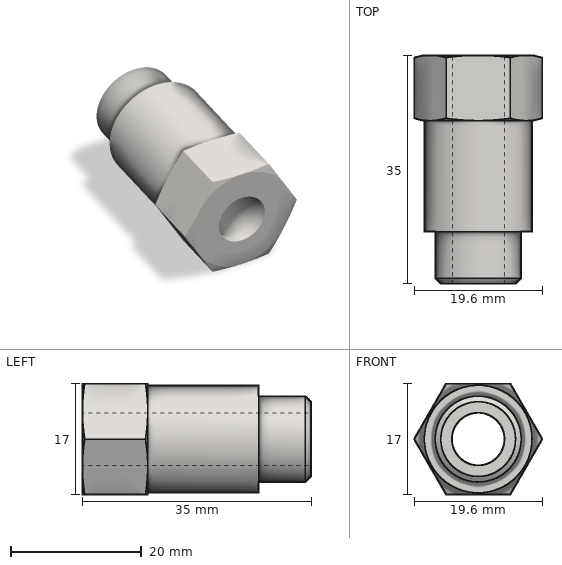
import cadquery as cq
import math

total_length = 35.0
hex_length = 10.0
pin_length = 8.0
across_flats = 17.0
body_diameter = 16.5
pin_diameter = 13.15
pin_tip_diameter = 11.45
bore_diameter = 8.0
hex_face_diameter = 16.95
hex_chamfer_angle = 15.0

hex_start = total_length - hex_length
body_length = hex_start - pin_length
across_corners = across_flats / math.cos(math.pi / 6)
pin_chamfer = (pin_diameter - pin_tip_diameter) / 2
chamfer_width = (across_corners - hex_face_diameter) / 2
chamfer_depth = chamfer_width * math.tan(math.radians(hex_chamfer_angle))


def plane_at(y):
    """Sketch plane across the axis, facing +Y, with its x direction along X."""
    return cq.Workplane(cq.Plane(origin=(0, y, 0), xDir=(1, 0, 0), normal=(0, 1, 0)))


def cylinder(start, length, diameter):
    return plane_at(start).circle(diameter / 2).extrude(length)


def hex_head():
    """Hexagon with corners on the X axis and conical chamfers on both ends."""
    prism = plane_at(hex_start).polygon(6, across_corners).extrude(hex_length)
    envelope = cylinder(hex_start, hex_length, across_corners)
    envelope = envelope.faces("<Y or >Y").chamfer(chamfer_depth, chamfer_width)
    return prism.intersect(envelope)


def pin():
    return cylinder(0, pin_length, pin_diameter).faces("<Y").chamfer(pin_chamfer)


body = cylinder(pin_length, body_length, body_diameter)
bore = cylinder(0, total_length, bore_diameter)

result = hex_head().union(body).union(pin()).cut(bore)